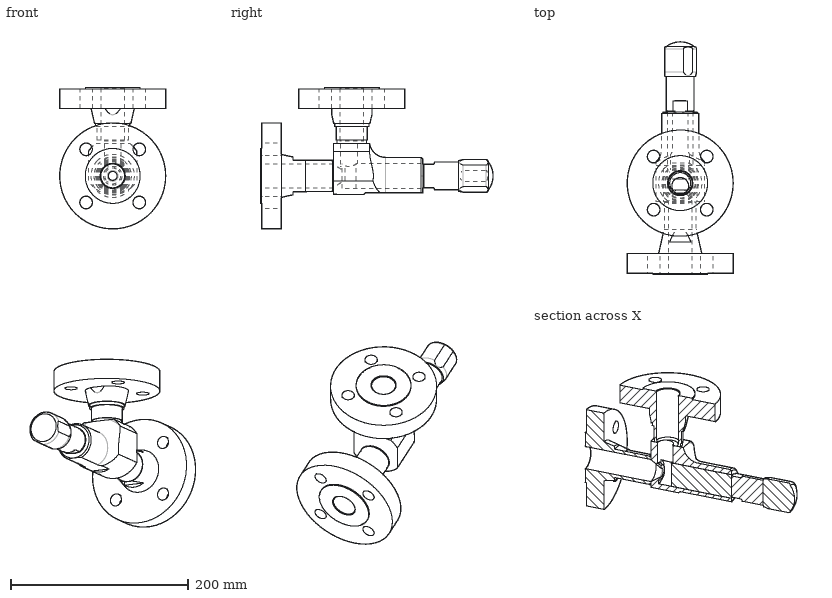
import cadquery as cq
import math


overall_length = 263.0

flange_radius = 60.0
flange_thickness = 22.4
raised_face_radius = 31.0
raised_face_height = 1.5
bolt_hole_diameter = 14.0
bolt_spacing = 60.0
hub_radius = 24.5
hub_taper = 0.225
bore_radius = 13.5
bore_chamfer = 0.8
neck_radius = 16.8

inlet_face = 103.4
inlet_hub_end = 52.3
inlet_pipe_radius = 18.0
inlet_pipe_end = 22.0
inlet_flat_end = 66.3

outlet_face = 100.0
outlet_hub_end = 59.2
outlet_collar_radius = 19.5
outlet_collar_end = 55.8
outlet_pipe_radius = 17.5
outlet_pipe_end = 40.8
outlet_flat_offset = 23.0
outlet_end_radius = 11.8
outlet_mouth_length = 2.5

block_half_width = 27.4
block_top = 36.8
block_front = -20.8
block_round_radius = 32.0
block_round_centre = 11.0
block_bottom = block_round_centre - block_round_radius
barrel_radius = 21.0
barrel_end = 80.2
barrel_chamfer = 1.8
flare_radius = 18.1
flare_start = 38.1
envelope_radius = 52.5
underside_flat = -19.2
underside_flat_front = 15.5

chamber_radius = 14.2
chamber_front = -11.0
seat_y = -8.0
seat_tip_radius = 9.0
seat_base_radius = 10.5
orifice_radius = 5.0
throat_radius = 6.0
throat_y = -10.0
outlet_hole_radius = 9.5
outlet_hole_y = -3.2
outlet_hole_floor = 10.5

plug_front = 4.5
sleeve_radius = 15.8
sleeve_undercut_radius = 14.7
sleeve_undercut_end = 81.5
sleeve_flat_offset = 13.5
sleeve_flat_end = 92.5
sleeve_flat_slope = 0.8
cap_bottom = 120.2
cap_radius = 18.7
cap_bottom_radius = 17.4
cap_taper_end = 125.7
cap_shoulder = 151.2
cap_dome_start = 154.0
cap_dome_radius = 16.0
cap_top = overall_length - inlet_face
cap_flat_offset = 17.5
cap_flat_count = 3
cap_flat_first_angle = 60


def turn_about_y(profile):
    """Revolve a closed (radius, y) profile drawn on the XY plane about the Y axis."""
    return profile.close().revolve(360, (0, 0, 0), (0, 1, 0))


def slab(x_size, y_range, z_range):
    """Box centred on X that spans the given Y and Z ranges."""
    y_size = y_range[1] - y_range[0]
    z_size = z_range[1] - z_range[0]
    return (
        cq.Workplane("XY")
        .box(x_size, y_size, z_size, centered=(True, False, False))
        .translate((0, y_range[0], z_range[0]))
    )


def cut_flats_across_y(stub, offset, start, end):
    """Mill two parallel flats at y = +offset and -offset between two heights."""
    flat = slab(2 * flange_radius, (offset, flange_radius), (start, end))
    return stub.cut(flat).cut(flat.mirror("XZ"))


def make_flange(face):
    """Bolted flange with raised face, standing along +Z, without its hub."""
    top = face - raised_face_height
    flange = cq.Workplane("XY").workplane(offset=top - flange_thickness)
    flange = flange.circle(flange_radius).extrude(flange_thickness)
    flange = flange.faces(">Z").workplane().circle(raised_face_radius).extrude(raised_face_height)
    holes = (
        cq.Workplane("XY")
        .workplane(offset=top - flange_thickness)
        .rect(bolt_spacing, bolt_spacing, forConstruction=True)
        .vertices()
        .circle(bolt_hole_diameter / 2)
        .extrude(flange_thickness)
    )
    return flange.cut(holes)


def make_stub(outline):
    """Revolve a stub outline of (radius, z) points, listed upwards, about the Z axis."""
    points = [(0, outline[0][1])] + outline + [(0, outline[-1][1])]
    return cq.Workplane("XZ").polyline(points).close().revolve(360, (0, 0, 0), (0, 1, 0))


def make_outlet():
    """Stepped stub, tapered hub and flange along +Z, bored through."""
    flange_back = outlet_face - raised_face_height - flange_thickness
    hub_end_radius = hub_radius - hub_taper * (flange_back - outlet_hub_end)
    stub = make_stub([
        (neck_radius, block_top),
        (neck_radius, outlet_pipe_end),
        (outlet_pipe_radius, outlet_pipe_end),
        (outlet_pipe_radius, outlet_collar_end),
        (outlet_collar_radius, outlet_collar_end),
        (outlet_collar_radius, outlet_hub_end),
        (hub_end_radius, outlet_hub_end),
        (hub_radius, flange_back),
    ])
    stub = cut_flats_across_y(stub, outlet_flat_offset, outlet_hub_end, flange_back)
    bore = make_stub([
        (outlet_end_radius, block_top),
        (bore_radius, block_top + outlet_mouth_length),
        (bore_radius, outlet_face - bore_chamfer),
        (bore_radius + bore_chamfer, outlet_face),
    ])
    return stub.union(make_flange(outlet_face)).cut(bore)


def make_inlet():
    """Built standing along +Z, then laid down to point along -Y."""
    flange_back = inlet_face - raised_face_height - flange_thickness
    hub_end_radius = hub_radius - hub_taper * (flange_back - inlet_hub_end)
    stub = make_stub([
        (neck_radius, -block_front),
        (neck_radius, inlet_pipe_end),
        (inlet_pipe_radius, inlet_pipe_end),
        (inlet_pipe_radius, inlet_hub_end),
        (hub_end_radius, inlet_hub_end),
        (hub_radius, flange_back),
    ])
    stub = cut_flats_across_y(stub, inlet_pipe_radius, inlet_hub_end, inlet_flat_end)
    bore = make_stub([
        (bore_radius, -block_front),
        (bore_radius, inlet_face - bore_chamfer),
        (bore_radius + bore_chamfer, inlet_face),
    ])
    inlet = stub.union(make_flange(inlet_face)).cut(bore)
    return inlet.rotate((0, 0, 0), (1, 0, 0), 90)


def make_block_prism():
    """Round bar trimmed flat on both sides and on top, run along the whole body."""
    length = barrel_end - block_front
    bar = (
        cq.Workplane("XZ", origin=(0, block_front, block_round_centre))
        .circle(block_round_radius)
        .extrude(-length)
    )
    trim = slab(2 * block_half_width, (block_front, barrel_end), (block_bottom, block_top))
    return bar.intersect(trim)


def make_turned_envelope():
    """Barrel that flares with a concave round into the back of the block."""
    block_back = flare_start - flare_radius
    flare_centre_radius = barrel_radius + flare_radius
    flare_mid = (
        flare_centre_radius - flare_radius * math.sqrt(0.5),
        flare_start - flare_radius * math.sqrt(0.5),
    )
    return turn_about_y(
        cq.Workplane("XY")
        .moveTo(0, block_front)
        .lineTo(envelope_radius, block_front)
        .lineTo(envelope_radius, block_back)
        .lineTo(flare_centre_radius, block_back)
        .threePointArc(flare_mid, (barrel_radius, flare_start))
        .lineTo(barrel_radius, barrel_end - barrel_chamfer)
        .lineTo(barrel_radius - barrel_chamfer, barrel_end)
        .lineTo(0, barrel_end)
    )


def make_underside_cut():
    """Flat milled under the barrel, with a 45 degree run-out in front."""
    depth = underside_flat - block_bottom
    return (
        cq.Workplane("YZ")
        .moveTo(underside_flat_front, underside_flat)
        .lineTo(barrel_end, underside_flat)
        .lineTo(barrel_end, block_bottom)
        .lineTo(underside_flat_front - depth, block_bottom)
        .close()
        .extrude(block_half_width, both=True)
    )


def make_chamber():
    """Chamber behind the raised conical seat, open at the barrel end."""
    return turn_about_y(
        cq.Workplane("XY")
        .moveTo(0, seat_y)
        .lineTo(seat_tip_radius, seat_y)
        .lineTo(seat_base_radius, chamber_front)
        .lineTo(chamber_radius, chamber_front)
        .lineTo(chamber_radius, barrel_end)
        .lineTo(0, barrel_end)
    )


def make_nozzle():
    """Inlet cone that narrows to the seat orifice."""
    return turn_about_y(
        cq.Workplane("XY")
        .moveTo(0, block_front)
        .lineTo(bore_radius, block_front)
        .lineTo(throat_radius, throat_y)
        .lineTo(orifice_radius, seat_y)
        .lineTo(0, seat_y)
    )


def make_body():
    """Block and barrel with the seat chamber, inlet nozzle and outlet hole."""
    body = make_block_prism().intersect(make_turned_envelope())
    outlet_hole = (
        cq.Workplane("XY", origin=(0, outlet_hole_y, outlet_hole_floor))
        .circle(outlet_hole_radius)
        .extrude(block_top - outlet_hole_floor)
    )
    return body.cut(make_underside_cut()).cut(make_chamber()).cut(make_nozzle()).cut(outlet_hole)


def make_plug():
    """Lifted plug that fills the chamber up to the end of the barrel."""
    return (
        cq.Workplane("XZ", origin=(0, plug_front, 0))
        .circle(chamber_radius)
        .extrude(plug_front - barrel_end)
    )


def make_sleeve():
    """Undercut sleeve with two opposite wrench flats whose end walls lean outwards."""
    sleeve = turn_about_y(
        cq.Workplane("XY")
        .moveTo(0, barrel_end)
        .lineTo(sleeve_undercut_radius, barrel_end)
        .lineTo(sleeve_undercut_radius, sleeve_undercut_end)
        .lineTo(sleeve_radius, sleeve_undercut_end)
        .lineTo(sleeve_radius, cap_bottom)
        .lineTo(0, cap_bottom)
    )
    flat = (
        cq.Workplane("YZ")
        .moveTo(barrel_end, sleeve_flat_offset)
        .lineTo(sleeve_flat_end, sleeve_flat_offset)
        .lineTo(sleeve_flat_end + sleeve_flat_slope, sleeve_radius)
        .lineTo(sleeve_flat_end + sleeve_flat_slope, 2 * sleeve_radius)
        .lineTo(barrel_end, 2 * sleeve_radius)
        .close()
        .extrude(sleeve_radius, both=True)
    )
    return sleeve.cut(flat).cut(flat.mirror("XY"))


def make_cap():
    """Domed cap with wrench flats spaced evenly around it."""
    shoulder_drop = cap_radius - cap_dome_radius
    shoulder_mid = (
        cap_dome_radius + shoulder_drop * math.sqrt(0.5),
        cap_shoulder + (cap_dome_start - cap_shoulder) * math.sqrt(0.5),
    )
    dome_height = cap_top - cap_dome_start
    dome_sphere = (cap_dome_radius ** 2 + dome_height ** 2) / (2 * dome_height)
    dome_mid_radius = cap_dome_radius / 2
    dome_mid_y = cap_top - dome_sphere + math.sqrt(dome_sphere ** 2 - dome_mid_radius ** 2)
    cap = turn_about_y(
        cq.Workplane("XY")
        .moveTo(0, cap_bottom)
        .lineTo(cap_bottom_radius, cap_bottom)
        .lineTo(cap_radius, cap_taper_end)
        .lineTo(cap_radius, cap_shoulder)
        .threePointArc(shoulder_mid, (cap_dome_radius, cap_dome_start))
        .threePointArc((dome_mid_radius, dome_mid_y), (0, cap_top))
    )
    flat = slab(2 * cap_radius, (cap_bottom, cap_top), (cap_flat_offset, 2 * cap_radius))
    for index in range(cap_flat_count):
        angle = cap_flat_first_angle + index * 360 / cap_flat_count
        cap = cap.cut(flat.rotate((0, 0, 0), (0, 1, 0), 90 - angle))
    return cap


body = make_body()
inlet = make_inlet()
outlet = make_outlet()
plug = make_plug()
sleeve = make_sleeve()
cap = make_cap()

result = cq.Compound.makeCompound([
    body.val(),
    inlet.val(),
    outlet.val(),
    plug.val(),
    sleeve.val(),
    cap.val(),
])